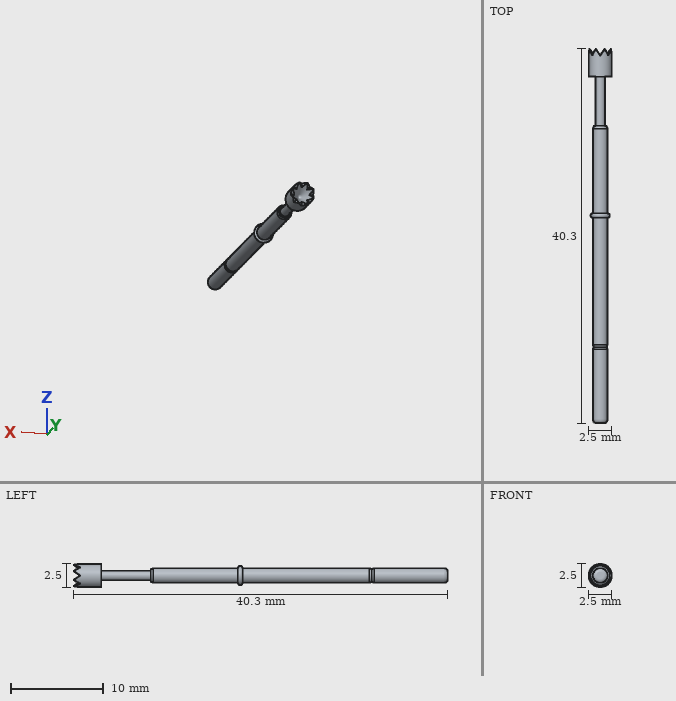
import cadquery as cq
import math

overall_length = 40.3

crown_diameter = 2.5
crown_length = 3.0
tooth_count = 8
tooth_depth = 0.7
hollow_depth = 2.0

plunger_diameter = 1.05

barrel_diameter = 1.6
barrel_length = 32.0
mouth_diameter = 1.35
mouth_length = 0.3
tail_radius = 0.4

ring_diameter = 2.1
ring_width = 0.5
ring_position = 22.35

crimp_position = 8.2
crimp_width = 0.5
crimp_depth = 0.1

crown_radius = crown_diameter / 2
plunger_radius = plunger_diameter / 2
barrel_radius = barrel_diameter / 2
mouth_radius = mouth_diameter / 2
crown_back = overall_length - crown_length


def revolve_about_y(profile):
    """Turn a closed (radius, Y) profile around the Y axis."""
    return profile.close().revolve(360, (0, 0, 0), (0, 1, 0))


def make_turned_body():
    """Barrel with rounded tail and tapered mouth, plunger and hollow crown in one profile."""
    tail_flat_radius = barrel_radius - tail_radius
    diagonal = tail_radius * math.sin(math.radians(45))
    tail_arc_middle = (tail_flat_radius + diagonal, tail_radius - diagonal)
    profile = (
        cq.Workplane("XY")
        .moveTo(0, 0)
        .lineTo(tail_flat_radius, 0)
        .threePointArc(tail_arc_middle, (barrel_radius, tail_radius))
        .lineTo(barrel_radius, barrel_length - mouth_length)
        .lineTo(mouth_radius, barrel_length)
        .lineTo(plunger_radius, barrel_length)
        .lineTo(plunger_radius, crown_back)
        .lineTo(crown_radius, crown_back)
        .lineTo(crown_radius, overall_length)
        .lineTo(0, overall_length - hollow_depth)
    )
    return revolve_about_y(profile)


def make_press_ring():
    """Bead with a half-round rim, as wide as the rim's diameter."""
    rim_radius = ring_width / 2
    rim_center = ring_diameter / 2 - rim_radius
    lower = ring_position - rim_radius
    upper = ring_position + rim_radius
    profile = (
        cq.Workplane("XY")
        .moveTo(0, lower)
        .lineTo(rim_center, lower)
        .threePointArc((ring_diameter / 2, ring_position), (rim_center, upper))
        .lineTo(0, upper)
    )
    return revolve_about_y(profile)


def make_crimp_cutter():
    """V-shaped ring that cuts the crimp groove into the barrel."""
    half_width = crimp_width / 2
    profile = (
        cq.Workplane("XY")
        .moveTo(barrel_radius, crimp_position - half_width)
        .lineTo(barrel_radius, crimp_position + half_width)
        .lineTo(barrel_radius - crimp_depth, crimp_position)
    )
    return revolve_about_y(profile)


def cut_crown_teeth(body):
    """Cut V grooves across the crown face; neighbours meet in tooth tips at the rim."""
    half_pitch_angle = math.pi / tooth_count
    half_width = crown_radius * math.sin(half_pitch_angle)
    groove = (
        cq.Workplane("YZ")
        .moveTo(overall_length, -half_width)
        .lineTo(overall_length, half_width)
        .lineTo(overall_length - tooth_depth, 0)
        .close()
        .extrude(crown_diameter, both=True)
    )
    groove_count = tooth_count // 2
    for index in range(groove_count):
        angle = index * 180 / groove_count
        body = body.cut(groove.rotate((0, 0, 0), (0, 1, 0), angle))
    return body


probe = make_turned_body().union(make_press_ring()).cut(make_crimp_cutter())
result = cut_crown_teeth(probe)